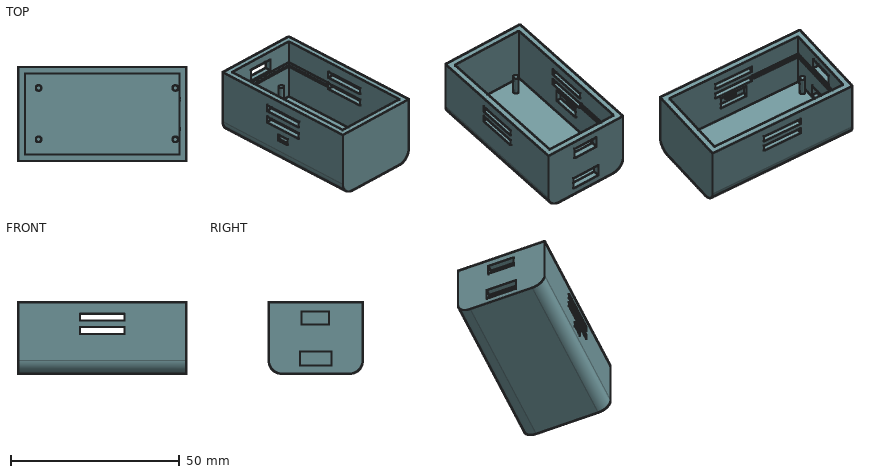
import cadquery as cq


LENGTH = 50.0
WIDTH = 28.0
HEIGHT = 21.3
WALL = 2.0
FLOOR = 2.0
BOTTOM_EDGE_RADIUS = 4.0

INNER_X = LENGTH / 2 - WALL
INNER_Y = WIDTH / 2 - WALL

PIN_DIAMETER = 1.65
PIN_HEIGHT = 6.0
PIN_SPACING_X = 40.6
PIN_SPACING_Y = 15.25
PIN_OFFSET_Y = 0.1
PIN_END_GAP = 1.3

VENT_LENGTH = 13.2
VENT_HEIGHT = 2.0
VENT_PITCH = 4.0
VENT_COUNT = 2
VENT_RIM_GAP = 3.45

GROOVE_DEPTH = 0.5
GROOVE_HEIGHT = 1.5
GROOVE_BOTTOM = 12.5
GROOVE_REACH = 16.0

POCKET_WIDTH = 9.2
POCKET_HEIGHT = 4.1
POCKET_DEPTH = 1.5
POCKET_TOP = 10.65

WINDOW_WIDTH = 3.8
WINDOW_HEIGHT = 2.0

LOWER_OPENING_WIDTH = 9.4
LOWER_OPENING_HEIGHT = POCKET_HEIGHT
LOWER_OPENING_TOP = 6.6

UPPER_OPENING_WIDTH = 8.2
UPPER_OPENING_HEIGHT = 3.8
UPPER_OPENING_TOP = 18.45
UPPER_OPENING_OFFSET_Y = -0.1


def block(x_range, y_range, z_range):
    """Axis-aligned block between the given limits."""
    ranges = (x_range, y_range, z_range)
    size = [high - low for low, high in ranges]
    corner = tuple(low for low, high in ranges)
    return cq.Workplane("XY").box(*size, centered=False).translate(corner)


def centred(size, middle=0.0):
    """Limits of a span of the given size about its middle."""
    return (middle - size / 2, middle + size / 2)


def shell():
    """Outer block with rounded long bottom edges and a sharp-cornered cavity."""
    outer = block(centred(LENGTH), centred(WIDTH), (0, HEIGHT))
    outer = outer.edges("|X and <Z").fillet(BOTTOM_EDGE_RADIUS)
    cavity = block((-INNER_X, INNER_X), (-INNER_Y, INNER_Y), (FLOOR, HEIGHT))
    return outer.cut(cavity)


def pins():
    """Four round pins standing on the floor, set towards the +X end."""
    middle_x = INNER_X - PIN_END_GAP - PIN_SPACING_X / 2
    return (
        cq.Workplane("XY")
        .center(middle_x, PIN_OFFSET_Y)
        .rect(PIN_SPACING_X, PIN_SPACING_Y, forConstruction=True)
        .vertices()
        .circle(PIN_DIAMETER / 2)
        .extrude(FLOOR + PIN_HEIGHT)
    )


def vent_slot(index):
    """One slot through both long walls, counted down from the rim."""
    top = HEIGHT - VENT_RIM_GAP - index * VENT_PITCH
    return block(centred(VENT_LENGTH), centred(WIDTH), (top - VENT_HEIGHT, top))


def board_groove():
    """Slab whose edges groove the +X wall and the ends of both long walls."""
    return block(
        (INNER_X - GROOVE_REACH, INNER_X + GROOVE_DEPTH),
        centred(2 * (INNER_Y + GROOVE_DEPTH)),
        (GROOVE_BOTTOM, GROOVE_BOTTOM + GROOVE_HEIGHT),
    )


def back_pocket():
    """Pocket in the +Y wall with a smaller window through to the outside."""
    pocket = block(
        centred(POCKET_WIDTH),
        (INNER_Y, INNER_Y + POCKET_DEPTH),
        (POCKET_TOP - POCKET_HEIGHT, POCKET_TOP),
    )
    window = block(
        centred(WINDOW_WIDTH),
        (INNER_Y, WIDTH / 2),
        centred(WINDOW_HEIGHT, POCKET_TOP - POCKET_HEIGHT / 2),
    )
    return pocket.union(window)


def end_opening(width, height, top, middle_y=0.0):
    """Rectangular opening through the +X end wall."""
    return block((INNER_X, LENGTH / 2), centred(width, middle_y), (top - height, top))


result = shell().union(pins())
for slot_index in range(VENT_COUNT):
    result = result.cut(vent_slot(slot_index))
result = result.cut(board_groove())
result = result.cut(back_pocket())
result = result.cut(end_opening(LOWER_OPENING_WIDTH, LOWER_OPENING_HEIGHT, LOWER_OPENING_TOP))
result = result.cut(
    end_opening(
        UPPER_OPENING_WIDTH,
        UPPER_OPENING_HEIGHT,
        UPPER_OPENING_TOP,
        UPPER_OPENING_OFFSET_Y,
    )
)